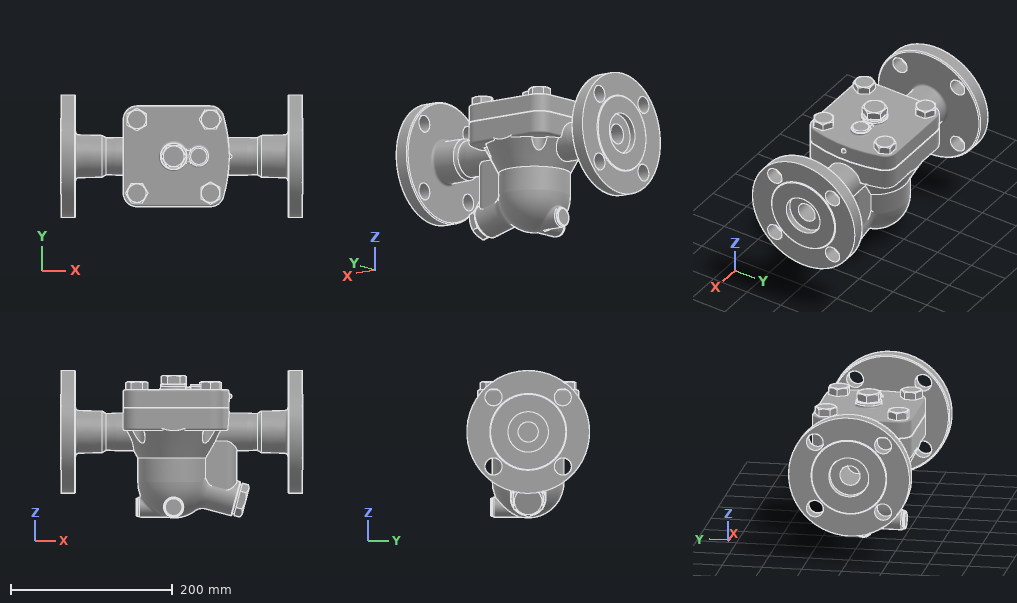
import cadquery as cq
import math

BODY_X = -10.0

FACE_X = 150.0
RAISED_HEIGHT = 1.0
RAISED_DIA = 95.0
FLANGE_DIA = 152.0
FLANGE_BACK_X = 131.0
FLANGE_CHAMFER = 1.5
BOLT_CIRCLE_DIA = 121.0
FLANGE_HOLE_DIA = 21.0
FLANGE_HOLES = 4
NECK_ROOT_R = 26.7
NECK_ROOT_FILLET = 3.5
NECK_SMALL_R = 26.0
NECK_TAPER_END_X = 98.5
WELD_START_X = 93.5
WELD_END_X = 88.5
WELD_R = 23.0
PIPE_START_X = 81.0
PIPE_R = 23.5
SOCKET_DIA = 50.0
SOCKET_DEPTH = 8.0
BORE_DIA = 25.0
BORE_DEPTH = 60.0

BODY_R = 44.5
SPHERE_Z = -62.0
CONE_BOTTOM_Z = -32.4
CONE_ANGLE = 28.0

PLATE_HALF = 62.5
PLATE_CORNER_R = 17.5
PLATE_BULGE = 68.8
PLATE_BOTTOM_Z = 1.5
JOINT_Z = 30.0
GASKET_THICKNESS = 0.6
GASKET_INSET = 0.3
COVER_TOP_Z = 52.1
PLATE_BOTTOM_FILLET = 3.0
COVER_TOP_FILLET = 2.5

BOLT_OFFSET = 45.5
BOLT_FLATS = 24.0
BOLT_TOP_Z = 62.0
BOLT_CLEARANCE_R = 10.0

HEX_FACE_SHARE = 0.95
HEX_CHAMFER_ANGLE = 30.0

BOSS_FILLET = 2.5
MAIN_BOSS_R = 16.5
MAIN_BOSS_TOP_Z = 56.2
MAIN_WASHER_R = 16.0
MAIN_WASHER_TOP_Z = 58.5
MAIN_SHANK_R = 13.0
MAIN_HEX_FLATS = 27.0
MAIN_HEX_BOTTOM_Z = 59.4
MAIN_HEX_TOP_Z = 70.0
SIDE_BOSS_X = 21.0
SIDE_BOSS_R = 12.0
SIDE_BOSS_TOP_Z = 55.8
SIDE_PLUG_R = 10.0
SIDE_PLUG_TOP_Z = 58.4
BRIDGE_WIDTH = 14.5
BRIDGE_HEIGHT = 3.0

PIN_R = 3.0
PIN_Z = 44.0
PIN_END_X = 62.0

PASSAGE_END_X = 68.2
PASSAGE_HALF_WIDTH = 20.6
PASSAGE_CORNER_R = 13.0

BRANCH_TILT = 15.0
BRANCH_R = 22.0
BRANCH_LENGTH = 80.0
BRANCH_FILLET = 15.0
BRANCH_CHAMFER = 1.0
BRANCH_WASHER_R = 19.0
BRANCH_HEX_START = 82.5
BRANCH_HEX_END = 92.2
BRANCH_HEX_FLATS = 36.0

DRAIN_Z = -93.0
DRAIN_R = 12.5
DRAIN_SHOULDER = 44.3
DRAIN_END = 46.5
DRAIN_SHOULDER_TAPER = 2.1
DRAIN_PLUG_R = 11.4
DRAIN_PLUG_CHAMFER = 1.0
DRAIN_ROOT_FILLET = 3.0


def cylinder(radius, bottom, top, x=BODY_X, y=0.0):
    """Vertical cylinder between two Z levels."""
    return cq.Workplane("XY", origin=(x, y, bottom)).circle(radius).extrude(top - bottom)


def hex_head(flats, height, turn=0.0):
    """Hexagon on the origin, pointing up, with its upper corners turned conically."""
    corner_r = flats / math.sqrt(3)
    face_r = HEX_FACE_SHARE * flats / 2
    drop = (corner_r - face_r) * math.tan(math.radians(HEX_CHAMFER_ANGLE))
    head = cq.Workplane("XY").polygon(6, 2 * corner_r).extrude(height)
    envelope = (
        cq.Workplane("XZ")
        .polyline([(0, 0), (corner_r, 0), (corner_r, height - drop), (face_r, height), (0, height)])
        .close()
        .revolve(360, (0, 0), (0, 1))
    )
    return head.intersect(envelope).rotate((0, 0, 0), (0, 0, 1), turn)


def pipe_end():
    """Flange, weld neck and pipe on the +X side, running in to the body axis."""
    flange_front_x = FACE_X - RAISED_HEIGHT
    flange_r = FLANGE_DIA / 2
    raised_r = RAISED_DIA / 2
    fillet_x = FLANGE_BACK_X - NECK_ROOT_FILLET
    fillet_r = NECK_ROOT_R + NECK_ROOT_FILLET
    mid_offset = NECK_ROOT_FILLET * math.sqrt(0.5)
    profile = (
        cq.Workplane("XY")
        .moveTo(BODY_X, 0)
        .lineTo(BODY_X, PIPE_R)
        .lineTo(PIPE_START_X, PIPE_R)
        .lineTo(WELD_END_X, WELD_R)
        .lineTo(WELD_START_X, WELD_R)
        .lineTo(NECK_TAPER_END_X, NECK_SMALL_R)
        .lineTo(fillet_x, NECK_ROOT_R)
        .threePointArc((fillet_x + mid_offset, fillet_r - mid_offset), (FLANGE_BACK_X, fillet_r))
        .lineTo(FLANGE_BACK_X, flange_r - FLANGE_CHAMFER)
        .lineTo(FLANGE_BACK_X + FLANGE_CHAMFER, flange_r)
        .lineTo(flange_front_x, flange_r)
        .lineTo(flange_front_x, raised_r)
        .lineTo(FACE_X, raised_r - RAISED_HEIGHT)
        .lineTo(FACE_X, 0)
        .close()
    )
    end = profile.revolve(360, (0, 0), (1, 0))
    holes = (
        cq.Workplane("YZ", origin=(FLANGE_BACK_X, 0, 0))
        .polarArray(BOLT_CIRCLE_DIA / 2, 45, 360, FLANGE_HOLES)
        .circle(FLANGE_HOLE_DIA / 2)
        .extrude(FACE_X - FLANGE_BACK_X)
    )
    return end.cut(holes)


def pipe_bore():
    """Socket and blind bore entering the +X sealing face."""
    face = cq.Workplane("YZ", origin=(FACE_X, 0, 0))
    socket = face.circle(SOCKET_DIA / 2).extrude(-SOCKET_DEPTH)
    return socket.union(face.circle(BORE_DIA / 2).extrude(-BORE_DEPTH))


def mirror_pair(solid):
    """The solid together with its mirror image on the -X side."""
    return solid.union(solid.mirror("YZ"))


def bolt_places():
    return [(BODY_X + sx * BOLT_OFFSET, sy * BOLT_OFFSET) for sx in (-1, 1) for sy in (-1, 1)]


def body_shell():
    """Hemisphere, cylinder and cone as one turned shape, with clearance under the cover bolts."""
    slope = math.radians(CONE_ANGLE)
    cone_top_z = PLATE_BOTTOM_Z + PLATE_BOTTOM_FILLET
    cone_top_r = BODY_R + (cone_top_z - CONE_BOTTOM_Z) * math.tan(slope)
    sphere_mid = (BODY_R * math.sqrt(0.5), SPHERE_Z - BODY_R * math.sqrt(0.5))
    shell = (
        cq.Workplane("XZ")
        .moveTo(0, SPHERE_Z - BODY_R)
        .threePointArc(sphere_mid, (BODY_R, SPHERE_Z))
        .lineTo(BODY_R, CONE_BOTTOM_Z)
        .lineTo(cone_top_r, cone_top_z)
        .lineTo(0, cone_top_z)
        .close()
        .revolve(360, (0, 0), (0, 1))
        .translate((BODY_X, 0, 0))
    )
    for x, y in bolt_places():
        shell = shell.cut(cylinder(BOLT_CLEARANCE_R, CONE_BOTTOM_Z, PLATE_BOTTOM_Z, x, y))
    return shell.intersect(plate(SPHERE_Z - BODY_R, cone_top_z))


def plate(bottom, top, inset=0.0):
    """Rounded square slab whose +X side is one shallow arc tangent to its corners."""
    half = PLATE_HALF - inset
    corner_r = PLATE_CORNER_R - inset
    bulge = PLATE_BULGE - inset
    centre = half - corner_r
    gap = bulge - centre
    bulge_r = (gap ** 2 + centre ** 2 - corner_r ** 2) / (2 * (gap - corner_r))
    touch = math.atan2(centre, centre - bulge + bulge_r)

    def on_corner(sx, sy, angle):
        return (sx * (centre + corner_r * math.cos(angle)), sy * (centre + corner_r * math.sin(angle)))

    right_mid = (touch + math.pi / 2) / 2
    outline = (
        cq.Workplane("XY", origin=(BODY_X, 0, bottom))
        .moveTo(-centre, -half)
        .lineTo(centre, -half)
        .threePointArc(on_corner(1, -1, right_mid), on_corner(1, -1, touch))
        .threePointArc((bulge, 0), on_corner(1, 1, touch))
        .threePointArc(on_corner(1, 1, right_mid), (centre, half))
        .lineTo(-centre, half)
        .threePointArc(on_corner(-1, 1, math.pi / 4), (-half, centre))
        .lineTo(-half, -centre)
        .threePointArc(on_corner(-1, -1, math.pi / 4), (-centre, -half))
        .close()
    )
    return outline.extrude(top - bottom)


def body_flange():
    slab = plate(PLATE_BOTTOM_Z, JOINT_Z - GASKET_THICKNESS / 2)
    return slab.faces("<Z").edges().fillet(PLATE_BOTTOM_FILLET)


def gasket():
    return plate(JOINT_Z - GASKET_THICKNESS / 2, JOINT_Z + GASKET_THICKNESS / 2, GASKET_INSET)


def cover():
    """Cover slab with two linked round bosses blended into its top."""
    slab = plate(JOINT_Z + GASKET_THICKNESS / 2, COVER_TOP_Z)
    slab = slab.faces(">Z").edges().fillet(COVER_TOP_FILLET)
    bridge = (
        cq.Workplane("XY", origin=((BODY_X + SIDE_BOSS_X) / 2, 0, COVER_TOP_Z))
        .rect(SIDE_BOSS_X - BODY_X, BRIDGE_WIDTH)
        .extrude(BRIDGE_HEIGHT)
    )
    bosses = (
        cylinder(MAIN_BOSS_R, COVER_TOP_Z, MAIN_BOSS_TOP_Z)
        .union(cylinder(SIDE_BOSS_R, COVER_TOP_Z, SIDE_BOSS_TOP_Z, SIDE_BOSS_X))
        .union(bridge)
    )
    joined = slab.union(bosses)
    root_reach = SIDE_BOSS_X + SIDE_BOSS_R - BODY_X + BOSS_FILLET
    tolerance = 0.1
    root_box = cq.selectors.BoxSelector(
        (BODY_X - root_reach, -root_reach, COVER_TOP_Z - tolerance),
        (BODY_X + root_reach, root_reach, COVER_TOP_Z + tolerance),
        boundingbox=True,
    )
    return joined.edges(root_box).fillet(BOSS_FILLET)


def cover_fasteners():
    """Four cover bolts, the main hexagon plug with its washer and the small round plug."""
    parts = cylinder(MAIN_WASHER_R, MAIN_BOSS_TOP_Z, MAIN_WASHER_TOP_Z)
    parts = parts.union(cylinder(MAIN_SHANK_R, MAIN_WASHER_TOP_Z, MAIN_HEX_BOTTOM_Z))
    main_hex = hex_head(MAIN_HEX_FLATS, MAIN_HEX_TOP_Z - MAIN_HEX_BOTTOM_Z)
    parts = parts.union(main_hex.translate((BODY_X, 0, MAIN_HEX_BOTTOM_Z)))
    parts = parts.union(cylinder(SIDE_PLUG_R, SIDE_BOSS_TOP_Z, SIDE_PLUG_TOP_Z, SIDE_BOSS_X))
    for x, y in bolt_places():
        on_main_diagonal = (x - BODY_X) * y > 0
        turn = 0 if on_main_diagonal else 30
        head = hex_head(BOLT_FLATS, BOLT_TOP_Z - COVER_TOP_Z, turn)
        parts = parts.union(head.translate((x, y, COVER_TOP_Z)))
    return parts


def pin():
    """Round-nosed pin standing out of the bulged side."""
    nose_x = PIN_END_X - PIN_R
    stem = cq.Workplane("YZ", origin=(nose_x, 0, PIN_Z)).circle(PIN_R).extrude(-2 * PIN_R)
    return stem.union(cq.Workplane("XY", origin=(nose_x, 0, PIN_Z)).sphere(PIN_R))


def passage():
    """Upright passage joining the pipe to the branch; its foot follows the branch axis."""
    reach = PASSAGE_END_X - BODY_X
    foot_z = SPHERE_Z - reach * math.tan(math.radians(BRANCH_TILT))
    return (
        cq.Workplane("XZ")
        .polyline([(BODY_X, 0), (PASSAGE_END_X, 0), (PASSAGE_END_X, foot_z), (BODY_X, SPHERE_Z)])
        .close()
        .extrude(PASSAGE_HALF_WIDTH, both=True)
        .edges("|Z and >X")
        .fillet(PASSAGE_CORNER_R)
    )


def branch():
    """Inclined branch, blended into the sphere and closed by a hexagon plug."""
    centre_r = BRANCH_R + BRANCH_FILLET
    centre_d = math.sqrt((BODY_R + BRANCH_FILLET) ** 2 - centre_r ** 2)
    sphere_share = BODY_R / (BODY_R + BRANCH_FILLET)
    start = (centre_r * sphere_share, centre_d * sphere_share)
    sweep_mid = (math.atan2(-centre_d, -centre_r) - math.pi) / 2
    mid = (
        centre_r + BRANCH_FILLET * math.cos(sweep_mid),
        centre_d + BRANCH_FILLET * math.sin(sweep_mid),
    )
    turned = (
        cq.Workplane("XZ")
        .lineTo(start[0], start[1])
        .threePointArc(mid, (BRANCH_R, centre_d))
        .lineTo(BRANCH_R, BRANCH_LENGTH - BRANCH_CHAMFER)
        .lineTo(BRANCH_R - BRANCH_CHAMFER, BRANCH_LENGTH)
        .lineTo(BRANCH_WASHER_R, BRANCH_LENGTH)
        .lineTo(BRANCH_WASHER_R, BRANCH_HEX_START)
        .lineTo(0, BRANCH_HEX_START)
        .close()
        .revolve(360, (0, 0), (0, 1))
    )
    plug = hex_head(BRANCH_HEX_FLATS, BRANCH_HEX_END - BRANCH_HEX_START)
    upright = turned.union(plug.translate((0, 0, BRANCH_HEX_START)))
    tilted = upright.rotate((0, 0, 0), (0, 1, 0), 90 + BRANCH_TILT)
    return tilted.translate((BODY_X, 0, SPHERE_Z))


def drain(turn):
    """Horizontal drain boss with a tapered shoulder and a chamfered plug; turn 0 points to -Y."""
    chamfer_start = DRAIN_END - DRAIN_PLUG_CHAMFER
    profile = [
        (0, 0),
        (DRAIN_R, 0),
        (DRAIN_R, DRAIN_SHOULDER - DRAIN_SHOULDER_TAPER),
        (DRAIN_PLUG_R, DRAIN_SHOULDER),
        (DRAIN_PLUG_R, chamfer_start),
        (DRAIN_PLUG_R - DRAIN_PLUG_CHAMFER, DRAIN_END),
        (0, DRAIN_END),
    ]
    upright = cq.Workplane("XZ").polyline(profile).close().revolve(360, (0, 0), (0, 1))
    pointing_front = upright.rotate((0, 0, 0), (1, 0, 0), 90)
    return pointing_front.rotate((0, 0, 0), (0, 0, 1), turn).translate((BODY_X, 0, DRAIN_Z))


def body_with_drains():
    """Turned body with both drain bosses; only the -X boss is blended into the hemisphere."""
    body = body_shell().union(drain(-90))
    root = cq.selectors.BoxSelector(
        (BODY_X - BODY_R, -BODY_R, SPHERE_Z - BODY_R),
        (BODY_X, BODY_R, DRAIN_Z + 2 * DRAIN_R),
        boundingbox=True,
    )
    body = body.edges(root).edges("%BSPLINE").fillet(DRAIN_ROOT_FILLET)
    return body.union(drain(0))


result = body_with_drains().union(branch()).union(passage())
result = result.union(body_flange()).union(gasket()).union(cover())
result = result.union(cover_fasteners()).union(pin())
result = result.union(mirror_pair(pipe_end())).cut(mirror_pair(pipe_bore()))